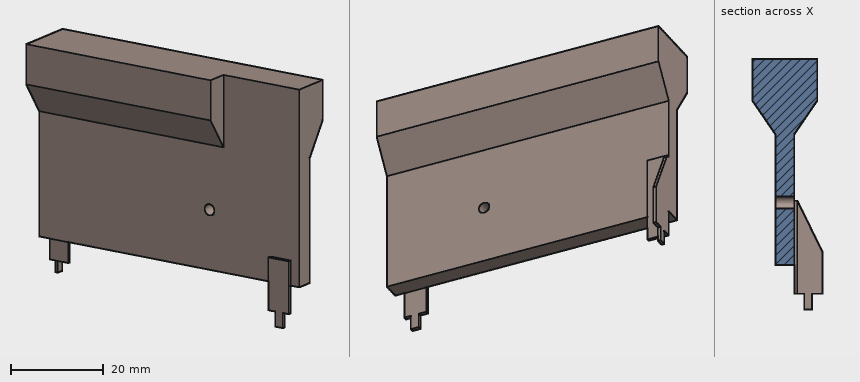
import cadquery as cq


length = 68.0
plate_height = 44.55
plate_thickness = 4.1

rim_height = 9.05
taper_height = 7.3
rim_projection = 4.95
front_rim_length = 48.2

hole_diameter = 2.5
hole_x = 44.55
hole_z = 13.5

foot_drop = 6.2
pin_length = 3.4
foot_bottom = -foot_drop
pin_bottom = foot_bottom - pin_length

sheet = 0.7
bracket_depth = 6.1
bracket_back = plate_thickness + bracket_depth
bracket_top = 13.95
bracket_shoulder = 2.85
flange_width = 4.8
bracket_pin_start = 6.2
bracket_pin_end = 7.95

strip_thickness = 0.9
strip_left = 60.5
strip_right = 65.8
strip_top = 5.7
strip_pin_left = 62.3
strip_pin_right = 64.25


def box(x0, x1, y0, y1, z0, z1):
    """Block spanning the given coordinate limits."""
    return cq.Workplane("XY").box(x1 - x0, y1 - y0, z1 - z0, centered=False).translate((x0, y0, z0))


def rim(face_y, outward, rim_length):
    """Rim on one plate face with a sloped underside; outward is the Y sign."""
    outer_y = face_y + outward * rim_projection
    rim_bottom = plate_height - rim_height
    outline = [
        (face_y, plate_height),
        (outer_y, plate_height),
        (outer_y, rim_bottom),
        (face_y, rim_bottom - taper_height),
    ]
    return cq.Workplane("YZ").polyline(outline).close().extrude(rim_length)


def bracket():
    """L-shaped bracket: flange on the plate's back face and a web with a pin."""
    flange = box(0, flange_width, plate_thickness, plate_thickness + sheet, foot_bottom, bracket_top)
    web_outline = [
        (plate_thickness, bracket_top),
        (plate_thickness + sheet, bracket_top),
        (bracket_back, bracket_shoulder),
        (bracket_back, foot_bottom),
        (bracket_pin_end, foot_bottom),
        (bracket_pin_end, pin_bottom),
        (bracket_pin_start, pin_bottom),
        (bracket_pin_start, foot_bottom),
        (plate_thickness, foot_bottom),
    ]
    web = cq.Workplane("YZ").polyline(web_outline).close().extrude(sheet)
    return flange.union(web)


def strip():
    """Flat strip on the front face, ending in a narrow pin."""
    blade = box(strip_left, strip_right, -strip_thickness, 0, foot_bottom, strip_top)
    pin = box(strip_pin_left, strip_pin_right, -strip_thickness, 0, pin_bottom, foot_bottom)
    return blade.union(pin)


plate = box(0, length, 0, plate_thickness, 0, plate_height)
hole = (
    cq.Workplane("XZ")
    .center(hole_x, hole_z)
    .circle(hole_diameter / 2)
    .extrude(-plate_thickness)
)

result = (
    plate
    .union(rim(0, -1, front_rim_length))
    .union(rim(plate_thickness, 1, length))
    .cut(hole)
    .union(bracket())
    .union(strip())
)